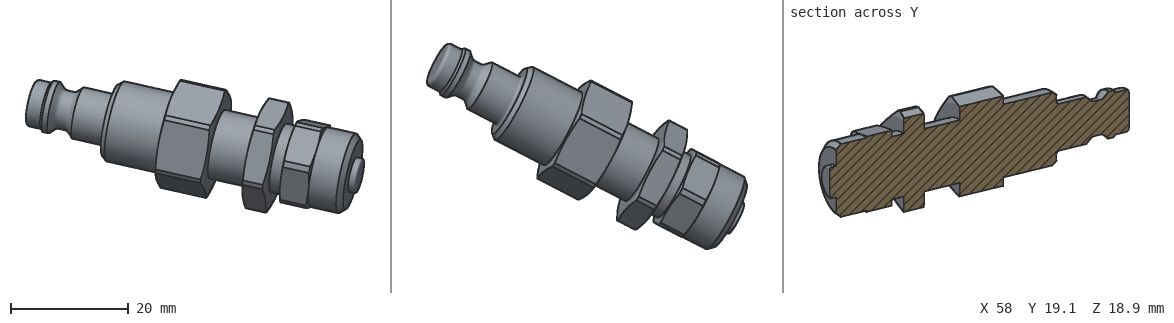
import cadquery as cq
import math

LENGTH = 58.0

TIP_DIAMETER = 8.1
TIP_FACE_DIAMETER = 6.7
PLUG_DIAMETER = 9.0
GROOVE_DIAMETER = 6.7
TIP_ROUND = (TIP_DIAMETER - TIP_FACE_DIAMETER) / 2
COLLAR_RAMP_START = 2.65
COLLAR_START = 3.1
COLLAR_END = 4.05
SHANK_START = 8.3
GROOVE_ROUND = 1.0

BODY_START = 14.05
BODY_DIAMETER = 14.0
BODY_FACE_DIAMETER = 12.5
BODY_CHAMFER_LENGTH = 0.85
SHANK_ROOT_ROUND = 0.45

TUBE_DIAMETER = 12.0

BODY_HEX_START = 24.35
BODY_HEX_END = 32.9
LOCK_NUT_START = 39.7
LOCK_NUT_END = 43.75
CAP_HEX_START = 45.9
CAP_HEX_END = 50.85
LARGE_FLATS = 17.0
LARGE_CORNERS = 19.15
CAP_FLATS = 14.0
CAP_CORNERS = 15.55
BODY_HEX_ANGLE = 7.3
LOCK_NUT_ANGLE = 18.0
CAP_HEX_ANGLE = -13.6
HEX_CHAMFER_ANGLE = 15.0

CAP_DIAMETER = 13.9
CAP_FACE_DIAMETER = 12.1
CAP_CHAMFER_START = 55.8
CAP_END = 56.8
NOZZLE_DIAMETER = 6.05
NOZZLE_ROUND = 0.3


def cylinder(start, end, diameter):
    """Solid cylinder on the X axis between two stations."""
    return cq.Workplane("YZ").workplane(offset=start).circle(diameter / 2).extrude(end - start)


def turned(outline):
    """Revolve a closed (station, radius) outline about the X axis."""
    return outline.close().revolve(360, (0, 0, 0), (1, 0, 0))


def plug():
    """Plug tip with its collar, locking groove and shank."""
    tip_radius = TIP_DIAMETER / 2
    plug_radius = PLUG_DIAMETER / 2
    groove_radius = GROOVE_DIAMETER / 2
    round_length = GROOVE_ROUND * math.sin(math.pi / 4)
    round_top = groove_radius + GROOVE_ROUND * (1 - math.cos(math.pi / 4))
    wall_length = plug_radius - round_top
    wall_end = COLLAR_END + wall_length
    far_wall_end = SHANK_START - wall_length
    outline = (
        cq.Workplane("XY")
        .lineTo(0, tip_radius - TIP_ROUND)
        .radiusArc((TIP_ROUND, tip_radius), TIP_ROUND)
        .lineTo(COLLAR_RAMP_START, tip_radius)
        .lineTo(COLLAR_START, plug_radius)
        .lineTo(COLLAR_END, plug_radius)
        .lineTo(wall_end, round_top)
        .radiusArc((wall_end + round_length, groove_radius), -GROOVE_ROUND)
        .lineTo(far_wall_end - round_length, groove_radius)
        .radiusArc((far_wall_end, round_top), -GROOVE_ROUND)
        .lineTo(SHANK_START, plug_radius)
        .lineTo(BODY_START - SHANK_ROOT_ROUND, plug_radius)
        .radiusArc((BODY_START, plug_radius + SHANK_ROOT_ROUND), -SHANK_ROOT_ROUND)
        .lineTo(BODY_START, 0)
    )
    return turned(outline)


def body():
    """Front body with a chamfered shoulder."""
    outline = (
        cq.Workplane("XY")
        .moveTo(BODY_START, 0)
        .lineTo(BODY_START, BODY_FACE_DIAMETER / 2)
        .lineTo(BODY_START + BODY_CHAMFER_LENGTH, BODY_DIAMETER / 2)
        .lineTo(BODY_HEX_START, BODY_DIAMETER / 2)
        .lineTo(BODY_HEX_START, 0)
    )
    return turned(outline)


def hexagon(start, end, flats, corners, angle):
    """Hexagon with truncated corners and turned chamfers on both end faces.

    The angle is the tilt of the corner on the -Y side towards +Z, in degrees.
    """
    sharp_corners = flats / math.cos(math.pi / 6)
    prism = (
        cq.Workplane("YZ")
        .workplane(offset=start)
        .polygon(6, sharp_corners)
        .extrude(end - start)
        .rotate((0, 0, 0), (1, 0, 0), -angle)
    )
    chamfer_length = (corners - flats) / 2 * math.tan(math.radians(HEX_CHAMFER_ANGLE))
    envelope = (
        cq.Workplane("XY")
        .moveTo(start, 0)
        .lineTo(start, flats / 2)
        .lineTo(start + chamfer_length, corners / 2)
        .lineTo(end - chamfer_length, corners / 2)
        .lineTo(end, flats / 2)
        .lineTo(end, 0)
    )
    return prism.intersect(turned(envelope))


def cap():
    """Round part of the union nut with a chamfered end."""
    outline = (
        cq.Workplane("XY")
        .moveTo(CAP_HEX_END, 0)
        .lineTo(CAP_HEX_END, CAP_DIAMETER / 2)
        .lineTo(CAP_CHAMFER_START, CAP_DIAMETER / 2)
        .lineTo(CAP_END, CAP_FACE_DIAMETER / 2)
        .lineTo(CAP_END, 0)
    )
    return turned(outline)


def nozzle():
    """Hose nozzle standing out of the cap, with a rounded rim."""
    return cylinder(CAP_END, LENGTH, NOZZLE_DIAMETER).faces(">X").edges().fillet(NOZZLE_ROUND)


result = (
    plug()
    .union(body())
    .union(hexagon(BODY_HEX_START, BODY_HEX_END, LARGE_FLATS, LARGE_CORNERS, BODY_HEX_ANGLE))
    .union(cylinder(BODY_HEX_END, CAP_HEX_START, TUBE_DIAMETER))
    .union(hexagon(LOCK_NUT_START, LOCK_NUT_END, LARGE_FLATS, LARGE_CORNERS, LOCK_NUT_ANGLE))
    .union(hexagon(CAP_HEX_START, CAP_HEX_END, CAP_FLATS, CAP_CORNERS, CAP_HEX_ANGLE))
    .union(cap())
    .union(nozzle())
)